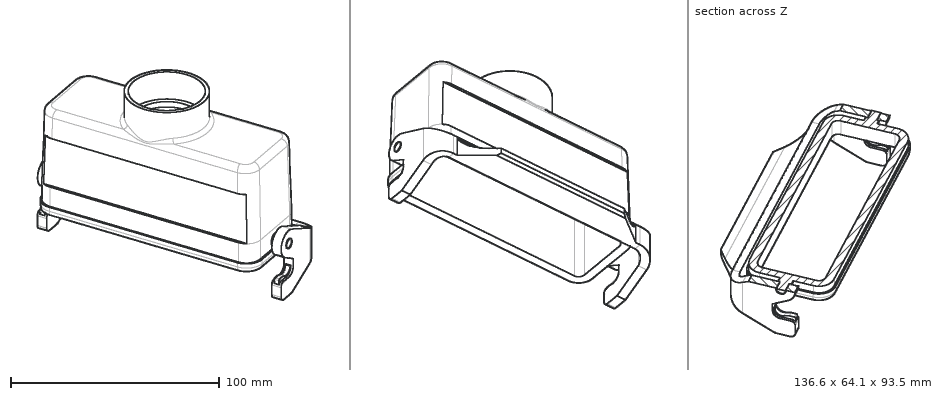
import cadquery as cq
import math

HOOD_LENGTH = 120.5
HOOD_WIDTH = 43.2
HOOD_HEIGHT = 56.8
CORNER_RADIUS = 7.8
BAND_TOP = 15.3
SIDE_DRAFT_ANGLE = 1.0
END_DRAFT_ANGLE = 1.5
TOP_EDGE_RADIUS = 3.3
SIDE_WALL = 4.4
CAVITY_CORNER_RADIUS = CORNER_RADIUS - SIDE_WALL
CEILING = 55.0

FLANGE_OVERHANG = 0.8
FLANGE_HEIGHT = 4.5
FLANGE_BEVEL_HEIGHT = 2.3
FLANGE_BEVEL_DEPTH = 0.4

PANEL_TOP = 42.1
PANEL_HALF_WIDTH_LOW = 20.4
PANEL_HALF_WIDTH_HIGH = 20.0

NECK_DIAMETER = 41.0
NECK_TOP = 73.1
NECK_BORE_DIAMETER = 37.0
NECK_BORE_FLOOR = 58.0
ENTRY_DIAMETER = 32.0
NECK_FILLET = 2.0

PIN_HEIGHT = 8.6
PIN_DIAMETER = 5.0
PIN_BOSS_DIAMETER = 7.0
PIN_SPAN = 136.6

ARM_OUTER = 67.9
ARM_INNER = 62.7
ARM_THICKNESS = ARM_OUTER - ARM_INNER
ARM_MIDDLE = (ARM_OUTER + ARM_INNER) / 2
PIVOT_RADIUS = 7.1
EDGE_SLOPE = 25.0
JAW_SLOPE = 30.0

PLATE_BACK = 28.8
PLATE_THICKNESS = 4.0
PLATE_BOTTOM = -8.3
PLATE_HALF_LENGTH = 56.5
BEND_START = 19.8
BEND_SECTIONS = 5

HOOK_BOTTOM = -20.4
HOOK_FRONT = -7.2
HOOK_TOE_RADIUS = 2.7
HOOK_LIP_RADIUS = 2.0
SLOT_BACK = 4.4
SLOT_FLOOR = -10.2
SLOT_RADIUS = 4.1
RIB_WIDTH = 2.6
RIB_SETBACK = 0.3
RIB_RADIUS = 3.3
RIB_CREST = -8.3
RIB_CREST_LENGTH = 3.5
RIB_RAMP_ANGLE = 20.0
RIB_EDGE_RADIUS = 0.7

LEVER_TIP = 41.7
LEVER_TOP = -4.0
LEVER_ARC_RADIUS = 9.7
LEVER_ARC_START = 37.7
LEVER_TIP_CHAMFER = 1.4
LEVER_ROOT_HALF_LENGTH = 54.2
LEVER_TIP_HALF_LENGTH = 37.3


def rounded_outline(half_length, half_width, radius):
    return cq.Sketch().rect(2 * half_length, 2 * half_width).vertices().fillet(radius)


def prism(half_length, half_width, radius, bottom, top):
    outline = rounded_outline(half_length, half_width, radius)
    return cq.Workplane("XY").workplane(offset=bottom).placeSketch(outline).extrude(top - bottom)


def hood_shell():
    half_length = HOOD_LENGTH / 2
    half_width = HOOD_WIDTH / 2
    band = prism(half_length, half_width, CORNER_RADIUS, 0, BAND_TOP)

    drafted_height = HOOD_HEIGHT - BAND_TOP
    side_inset = drafted_height * math.tan(math.radians(SIDE_DRAFT_ANGLE))
    end_inset = drafted_height * math.tan(math.radians(END_DRAFT_ANGLE))
    low = rounded_outline(half_length, half_width, CORNER_RADIUS)
    high = rounded_outline(half_length - end_inset, half_width - side_inset, CORNER_RADIUS)
    upper = (
        cq.Workplane("XY").workplane(offset=BAND_TOP)
        .placeSketch(low, high.moved(cq.Location(cq.Vector(0, 0, drafted_height))))
        .loft(ruled=True)
    )
    upper = upper.faces(">Z").edges().fillet(TOP_EDGE_RADIUS)
    return band.union(upper)


def hood_flange():
    half_length = HOOD_LENGTH / 2 + FLANGE_OVERHANG
    half_width = HOOD_WIDTH / 2 + FLANGE_OVERHANG
    flange = prism(half_length, half_width, CORNER_RADIUS + FLANGE_OVERHANG, 0, FLANGE_HEIGHT)
    return flange.faces("<Z").chamfer(FLANGE_BEVEL_HEIGHT, FLANGE_BEVEL_DEPTH)


def panel_recess(side):
    """Cutter for the sunken panel of one long wall; side is +1 or -1."""
    outside = HOOD_WIDTH
    return (
        cq.Workplane("YZ")
        .polyline([
            (side * PANEL_HALF_WIDTH_LOW, BAND_TOP),
            (side * outside, BAND_TOP),
            (side * outside, PANEL_TOP),
            (side * PANEL_HALF_WIDTH_HIGH, PANEL_TOP),
        ])
        .close()
        .extrude(HOOD_LENGTH / 2, both=True)
    )


def cylinder_z(diameter, bottom, top):
    return cq.Workplane("XY").workplane(offset=bottom).circle(diameter / 2).extrude(top - bottom)


def cylinder_x(diameter, start, end):
    return (
        cq.Workplane("YZ").workplane(offset=start).center(0, PIN_HEIGHT)
        .circle(diameter / 2).extrude(end - start)
    )


def pivot_pin():
    """Boss and pin on the +X end wall."""
    root = HOOD_LENGTH / 2 - SIDE_WALL / 2
    boss = cylinder_x(PIN_BOSS_DIAMETER, root, ARM_INNER)
    return boss.union(cylinder_x(PIN_DIAMETER, root, PIN_SPAN / 2))


def filleted_neck(shell):
    """Add the round neck and blend it into the roof and its rounded long edges."""
    straight_wall_top = HOOD_HEIGHT - TOP_EDGE_RADIUS
    above_roof = HOOD_HEIGHT + TOP_EDGE_RADIUS
    body = shell.union(cylinder_z(NECK_DIAMETER, straight_wall_top, NECK_TOP))
    reach = NECK_DIAMETER / 2 + NECK_FILLET
    joint = cq.selectors.BoxSelector((-reach, -reach, straight_wall_top), (reach, reach, above_roof))
    return body.edges(joint).fillet(NECK_FILLET)


def build_hood():
    body = filleted_neck(hood_shell()).union(hood_flange())
    for side in (1, -1):
        body = body.cut(panel_recess(side))

    pin = pivot_pin()
    body = body.union(pin).union(pin.mirror("YZ"))

    cavity = prism(
        HOOD_LENGTH / 2 - SIDE_WALL, HOOD_WIDTH / 2 - SIDE_WALL, CAVITY_CORNER_RADIUS, 0, CEILING
    )
    body = body.cut(cavity)
    body = body.cut(cylinder_z(ENTRY_DIAMETER, 0, NECK_TOP))
    return body.cut(cylinder_z(NECK_BORE_DIAMETER, NECK_BORE_FLOOR, NECK_TOP))


def upper_edge(y):
    """Height of the sloping upper arm edge, tangent to the round pivot end."""
    slope = math.radians(EDGE_SLOPE)
    return PIN_HEIGHT + PIVOT_RADIUS / math.cos(slope) - y * math.tan(slope)


def lower_edge(y):
    """Height of the sloping lower arm edge, which reaches the plate bottom at the plate back."""
    return PLATE_BOTTOM - (PLATE_BACK - y) * math.tan(math.radians(EDGE_SLOPE))


def jaw_edge(y):
    """Height of the edge above the hook slot, tangent to the underside of the pivot end."""
    slope = math.radians(JAW_SLOPE)
    return PIN_HEIGHT - PIVOT_RADIUS / math.cos(slope) - y * math.tan(slope)


def on_circle(y, z, radius, degrees):
    angle = math.radians(degrees)
    return (y + radius * math.cos(angle), z + radius * math.sin(angle))


def arm_plate():
    slope = math.radians(EDGE_SLOPE)
    hook_bottom_y = PLATE_BACK - (PLATE_BOTTOM - HOOK_BOTTOM) / math.tan(slope)
    slot_center = (SLOT_BACK - SLOT_RADIUS, SLOT_FLOOR + SLOT_RADIUS)
    lip_center = (HOOK_FRONT + HOOK_LIP_RADIUS, SLOT_FLOOR - HOOK_LIP_RADIUS)
    toe_center = (HOOK_FRONT + HOOK_TOE_RADIUS, HOOK_BOTTOM + HOOK_TOE_RADIUS)
    return (
        cq.Workplane("YZ").workplane(offset=ARM_INNER)
        .moveTo(BEND_START, lower_edge(BEND_START))
        .lineTo(BEND_START, upper_edge(BEND_START))
        .lineTo(*on_circle(0, PIN_HEIGHT, PIVOT_RADIUS, 90 - EDGE_SLOPE))
        .threePointArc(
            on_circle(0, PIN_HEIGHT, PIVOT_RADIUS, 180),
            on_circle(0, PIN_HEIGHT, PIVOT_RADIUS, 270 - JAW_SLOPE),
        )
        .lineTo(SLOT_BACK, jaw_edge(SLOT_BACK))
        .lineTo(SLOT_BACK, slot_center[1])
        .threePointArc(
            on_circle(*slot_center, SLOT_RADIUS, -45),
            on_circle(*slot_center, SLOT_RADIUS, -90),
        )
        .lineTo(lip_center[0], SLOT_FLOOR)
        .threePointArc(
            on_circle(*lip_center, HOOK_LIP_RADIUS, 135),
            on_circle(*lip_center, HOOK_LIP_RADIUS, 180),
        )
        .lineTo(HOOK_FRONT, toe_center[1])
        .threePointArc(
            on_circle(*toe_center, HOOK_TOE_RADIUS, 225),
            on_circle(*toe_center, HOOK_TOE_RADIUS, 270),
        )
        .lineTo(hook_bottom_y, HOOK_BOTTOM)
        .close()
        .extrude(ARM_THICKNESS)
    )


def hook_rib():
    """Narrow raised rib along the middle of the hook slot, ending in a low crest at the hook lip."""
    center = (SLOT_BACK - SLOT_RADIUS, SLOT_FLOOR + SLOT_RADIUS)
    rib_front = HOOK_FRONT + RIB_SETBACK
    rib_root = SLOT_FLOOR - HOOK_LIP_RADIUS
    rib = (
        cq.Workplane("YZ").workplane(offset=ARM_MIDDLE - RIB_WIDTH / 2)
        .moveTo(SLOT_BACK, center[1])
        .lineTo(*on_circle(*center, RIB_RADIUS, 0))
        .threePointArc(
            on_circle(*center, RIB_RADIUS, -45),
            on_circle(*center, RIB_RADIUS, -90 - RIB_RAMP_ANGLE),
        )
        .lineTo(HOOK_FRONT + RIB_CREST_LENGTH, RIB_CREST)
        .lineTo(rib_front, RIB_CREST)
        .lineTo(rib_front, rib_root)
        .lineTo(SLOT_BACK, rib_root)
        .close()
        .extrude(RIB_WIDTH)
    )
    crest_edge = cq.selectors.NearestToPointSelector((ARM_MIDDLE, rib_front, RIB_CREST))
    return rib.edges(crest_edge).fillet(RIB_EDGE_RADIUS)


def bend_section(degrees):
    """Cross section of the bend, turned from the arm (0 degrees) to the back plate (90 degrees)."""
    angle = math.radians(degrees)
    outer_x = PLATE_HALF_LENGTH + (ARM_OUTER - PLATE_HALF_LENGTH) * math.cos(angle)
    inner_x = PLATE_HALF_LENGTH + (ARM_INNER - PLATE_HALF_LENGTH) * math.cos(angle)
    bend_depth = PLATE_BACK - BEND_START
    outer_y = BEND_START + bend_depth * math.sin(angle)
    inner_y = BEND_START + (bend_depth - PLATE_THICKNESS) * math.sin(angle)
    low = lower_edge(outer_y)
    high = upper_edge(outer_y)
    corners = [
        (outer_x, outer_y, low),
        (inner_x, inner_y, low),
        (inner_x, inner_y, high),
        (outer_x, outer_y, high),
    ]
    return cq.Wire.makePolygon([cq.Vector(*corner) for corner in corners], close=True)


def bend():
    step = 90 / (BEND_SECTIONS - 1)
    sections = [bend_section(index * step) for index in range(BEND_SECTIONS)]
    return cq.Workplane(cq.Solid.makeLoft(sections))


def back_plate():
    height = upper_edge(PLATE_BACK) - PLATE_BOTTOM
    return cq.Workplane("XY").box(
        2 * PLATE_HALF_LENGTH, PLATE_THICKNESS, height, centered=(True, False, False)
    ).translate((0, PLATE_BACK - PLATE_THICKNESS, PLATE_BOTTOM))


def lever():
    """Finger lever behind the plate: a concave upper side and a plan that tapers to the tip."""
    arc_center = (LEVER_ARC_START, LEVER_TOP + LEVER_ARC_RADIUS)
    root_drop = math.degrees(math.acos((LEVER_ARC_START - PLATE_BACK) / LEVER_ARC_RADIUS))
    profile = (
        cq.Workplane("YZ")
        .moveTo(PLATE_BACK, PLATE_BOTTOM)
        .lineTo(*on_circle(*arc_center, LEVER_ARC_RADIUS, 180 + root_drop))
        .threePointArc(
            on_circle(*arc_center, LEVER_ARC_RADIUS, 225 + root_drop / 2),
            (LEVER_ARC_START, LEVER_TOP),
        )
        .lineTo(LEVER_TIP, LEVER_TOP)
        .lineTo(LEVER_TIP, PLATE_BOTTOM + LEVER_TIP_CHAMFER)
        .lineTo(LEVER_TIP - LEVER_TIP_CHAMFER, PLATE_BOTTOM)
        .close()
        .extrude(LEVER_ROOT_HALF_LENGTH, both=True)
    )
    plan = (
        cq.Workplane("XY").workplane(offset=PLATE_BOTTOM)
        .polyline([
            (-LEVER_ROOT_HALF_LENGTH, PLATE_BACK),
            (LEVER_ROOT_HALF_LENGTH, PLATE_BACK),
            (LEVER_TIP_HALF_LENGTH, LEVER_TIP),
            (-LEVER_TIP_HALF_LENGTH, LEVER_TIP),
        ])
        .close()
        .extrude(upper_edge(PLATE_BACK) - PLATE_BOTTOM)
    )
    return profile.intersect(plan)


def build_bail():
    arm = arm_plate().union(hook_rib())
    arm = arm.cut(cylinder_x(PIN_DIAMETER, ARM_INNER, ARM_OUTER))
    side = arm.union(bend())
    return back_plate().union(lever()).union(side).union(side.mirror("YZ"))


hood = build_hood()
bail = build_bail()
result = cq.Compound.makeCompound([hood.solids().val(), bail.solids().val()])